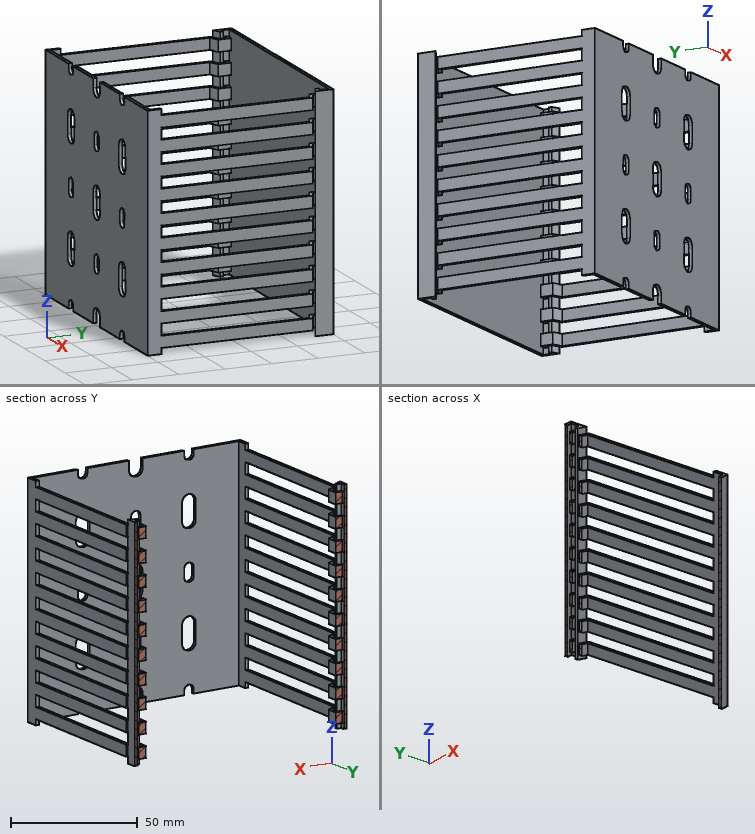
import cadquery as cq


width = 100.0
height = 80.0
length = 100.0
half_width = width / 2
wall = 1.5

rail_height = 6.0
finger_count = 10
finger_pitch = length / finger_count
gap_width = finger_pitch / 2

slope = 0.48
cover_depth = 8.0
joint_gap = 1.0
shoulder_depth = cover_depth + joint_gap
lip_inset = 3.5
lip_top_depth = 5.0
hook_gap = 0.5
hook_tip_inset = wall + hook_gap
hook_outer_inset = lip_inset + hook_gap
hook_inner_inset = hook_outer_inset + wall
hook_top_depth = 2.5
hook_bottom_depth = hook_top_depth + wall
hook_slope_depth = 8.0

slot_pitch = 25.0
slot_columns = (-1, 0, 1)
slot_rows = (-2, -1, 0, 1, 2)
large_slot_length = 14.0
large_slot_width = 6.5
small_slot_length = 8.0
small_slot_width = 4.5


def joint_point(inset, depth):
    """XY point on the left side of the duct."""
    return (-half_width + inset, height - depth)


def mirrored_profile(left_points):
    """Symmetric XY outline, given by its left half from outside to inside, extruded along the duct."""
    right_points = [(-x, y) for x, y in reversed(left_points)]
    outline = cq.Workplane("XY", origin=(0, 0, -length / 2)).polyline(left_points + right_points).close()
    return outline.extrude(length)


def channel_profile():
    """U-shaped channel whose side walls end in hooks turned outward under the cover."""
    return mirrored_profile([
        (-half_width, 0),
        joint_point(0, shoulder_depth),
        joint_point(hook_outer_inset, shoulder_depth - slope * hook_outer_inset),
        joint_point(hook_outer_inset, hook_bottom_depth),
        joint_point(hook_tip_inset, hook_bottom_depth),
        joint_point(hook_tip_inset, hook_top_depth),
        joint_point(hook_inner_inset, hook_top_depth),
        joint_point(hook_inner_inset, hook_slope_depth),
        joint_point(wall, hook_slope_depth + slope * (hook_inner_inset - wall)),
        (-half_width + wall, wall),
    ])


def finger_gaps():
    """Openings between the fingers; the two end openings are cut in half by the duct ends."""
    gap_centers = [(0, -length / 2 + i * finger_pitch) for i in range(finger_count + 1)]
    return (
        cq.Workplane("XZ", origin=(0, rail_height, 0))
        .pushPoints(gap_centers)
        .rect(width, gap_width)
        .extrude(-(height - rail_height))
    )


def slot_group(centers, slot_length, slot_width):
    """Slots along Z through the base at the given (X, Z) centres."""
    return (
        cq.Workplane("XZ", origin=(0, wall, 0))
        .pushPoints(centers)
        .slot2D(slot_length, slot_width, 90)
        .extrude(wall)
    )


def mounting_slots():
    """All base slots; the outermost rows are cut in half by the duct ends."""
    large_centers = []
    small_centers = []
    for column in slot_columns:
        for row in slot_rows:
            center = (column * slot_pitch, row * slot_pitch)
            if (column + row) % 2 == 0:
                large_centers.append(center)
            else:
                small_centers.append(center)
    large_slots = slot_group(large_centers, large_slot_length, large_slot_width)
    small_slots = slot_group(small_centers, small_slot_length, small_slot_width)
    return large_slots.union(small_slots)


def make_channel():
    """Channel with finger gaps in its sides and mounting slots in its base."""
    return channel_profile().cut(finger_gaps()).cut(mounting_slots()).solids()


def make_cover():
    """Flat cover with a skirt and an inward lip along each side."""
    return mirrored_profile([
        (-half_width, height),
        joint_point(0, cover_depth),
        joint_point(lip_inset, cover_depth - slope * lip_inset),
        joint_point(lip_inset, lip_top_depth),
        joint_point(wall, lip_top_depth),
        joint_point(wall, wall),
    ])


channel = make_channel()
cover = make_cover()

result = cq.Compound.makeCompound([channel.val(), cover.val()])